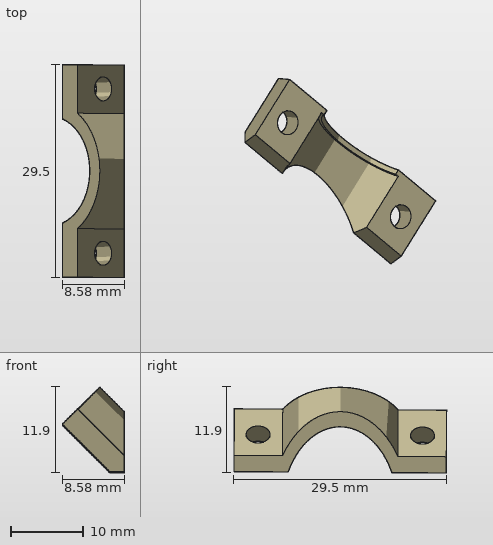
import cadquery as cq


ear_thickness = 3.0
ear_span = 29.4
bore_radius = 8.0
wall = 1.5
outer_radius = bore_radius + wall
axis_drop = 2.15

lip_height = 0.5
lip_width = 0.75
lip_radius = bore_radius - lip_height

hole_diameter = 3.3
hole_spacing = 22.74
hole_setback = 5.0

axis_tilt = 45.0
roll = 0.37
back_plane = 8.58
base_drop = 6.6
blank_length = 20.0


def bore_cylinder(radius, length):
    """Cylinder about the arch axis, starting at the front face."""
    return cq.Workplane("YZ").center(0, -axis_drop).circle(radius).extrude(length)


def above_undersides():
    """Block covering everything above the ear undersides."""
    return cq.Workplane("XY").box(
        blank_length, ear_span, outer_radius, centered=(False, True, False)
    )


def strap_blank():
    """Ears and arch with the plain bore cut through them."""
    ears = cq.Workplane("XY").box(
        blank_length, ear_span, ear_thickness, centered=(False, True, False)
    )
    arch = bore_cylinder(outer_radius, blank_length).intersect(above_undersides())
    return ears.union(arch).cut(bore_cylinder(bore_radius, blank_length))


def lip():
    """Narrow ring standing in from the bore at the front face."""
    ring = bore_cylinder(bore_radius, lip_width).cut(bore_cylinder(lip_radius, lip_width))
    return ring.intersect(above_undersides())


def bolt_holes():
    """One cutter per ear, square to the ear faces."""
    return (
        cq.Workplane("XY")
        .pushPoints([(hole_setback, side * hole_spacing / 2) for side in (-1, 1)])
        .circle(hole_diameter / 2)
        .extrude(ear_thickness)
    )


def trim_envelope():
    """Box whose +X face and underside trim the tipped strap."""
    return (
        cq.Workplane("XY")
        .box(back_plane + blank_length, 2 * ear_span, base_drop + blank_length,
             centered=(False, True, False))
        .translate((-blank_length, 0, -base_drop))
    )


strap = strap_blank().cut(bolt_holes()).union(lip(), clean=False)
tipped = strap.rotate((0, 0, 0), (0, 1, 0), axis_tilt)
trimmed = tipped.intersect(trim_envelope(), clean=False)
result = trimmed.rotate((0, 0, 0), (1, 0, 0), -roll)